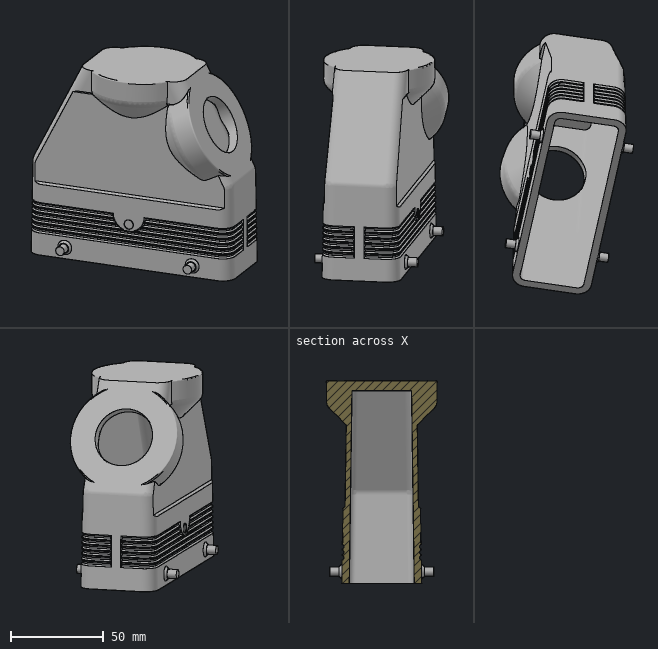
import cadquery as cq
import math

LENGTH = 119.2
WIDTH = 43.2
HEIGHT = 109.2
DRAFT = 0.8
SHOULDER_Z = 53.2
SHOULDER_HALF = LENGTH / 2 - SHOULDER_Z * math.tan(math.radians(DRAFT))
TOP_HALF = 30.3
SHOULDER_R = 5.4
CORNER_R = 7.5

SIDE_WALL = 4.2
ROOF_WALL = 5.5
CAVITY_CORNER_R = CORNER_R - SIDE_WALL

BOSS_R = 60.0 / 2
BOSS_RIM_DEPTH = 13.2
BOSS_EDGE_R = 5.5
BOSS_LIP_R = 0.7
ENTRY_R = 16.0
ENTRY_DEPTH = 11.9

PANEL_INSET = 1.2
PANEL_BOTTOM_Z = 40.3
PANEL_TOP_Z = 96.5

GROOVE_COUNT = 6
GROOVE_TOP_Z = 29.9
GROOVE_BOTTOM_Z = 12.6
GROOVE_OPENING = 2.5
GROOVE_PITCH = (GROOVE_TOP_Z - GROOVE_BOTTOM_Z - GROOVE_OPENING) / (GROOVE_COUNT - 1)
GROOVE_DEPTH = 0.8
GROOVE_END_GAP = 5.2

TAB_R = 9.1
DIMPLE_R = 2.6
DIMPLE_Z = 24.7
DIMPLE_DEPTH = 0.4

PIN_X = 37.3
PIN_Z = 6.4
PIN_R = 2.5
PIN_TIP_Y = 28.0
COLLAR_R = 4.0
COLLAR_TIP_R = 2.9
COLLAR_TIP_Y = 22.9

SLOPE_DX = SHOULDER_HALF - TOP_HALF
SLOPE_DZ = HEIGHT - SHOULDER_Z
SLOPE_LENGTH = math.hypot(SLOPE_DX, SLOPE_DZ)
SLOPE_NORMAL = (SLOPE_DZ / SLOPE_LENGTH, 0, SLOPE_DX / SLOPE_LENGTH)
SLOPE_MID = ((SHOULDER_HALF + TOP_HALF) / 2, 0, (SHOULDER_Z + HEIGHT) / 2)


def wall_lean(z):
    """How far the drafted walls have moved inwards at height z."""
    return z * math.tan(math.radians(DRAFT))


def wall_half_width(z):
    """Distance from the middle plane to a side wall at height z."""
    return WIDTH / 2 - wall_lean(z)


def turned(shape, angle):
    """Shape turned about the vertical centre line."""
    return shape.rotate((0, 0, 0), (0, 0, 1), angle)


def gabled_block(side_inset, roof_inset, corner_r):
    """Drafted hood shape, its walls moved inwards by side_inset, its top and slopes by roof_inset."""
    top_z = HEIGHT - roof_inset
    slope_run = SLOPE_DX / SLOPE_DZ
    top_x = TOP_HALF - roof_inset / SLOPE_NORMAL[0] + roof_inset * slope_run
    base_x = LENGTH / 2 - side_inset
    shoulder_z = (top_x + top_z * slope_run - base_x) / (slope_run - wall_lean(1))
    shoulder_x = base_x - wall_lean(shoulder_z)
    base_y = WIDTH / 2 - side_inset
    top_y = base_y - wall_lean(top_z)

    long_outline = [
        (-base_x, 0),
        (base_x, 0),
        (shoulder_x, shoulder_z),
        (top_x, top_z),
        (-top_x, top_z),
        (-shoulder_x, shoulder_z),
    ]
    cross_outline = [(-base_y, 0), (base_y, 0), (top_y, top_z), (-top_y, top_z)]
    gable = cq.Workplane("XZ").polyline(long_outline).close().extrude(WIDTH, both=True)
    wedge = cq.Workplane("YZ").polyline(cross_outline).close().extrude(LENGTH, both=True)
    block = gable.intersect(wedge)
    block = block.edges("|Y and (not <Z) and (not >Z)").fillet(SHOULDER_R)
    return block.edges("not #Z").fillet(corner_r)


def panel_cutter():
    """Slab removed from the -Y side: drafted floor with 45 degree ledges at bottom and top."""
    low_y = wall_half_width(PANEL_BOTTOM_Z)
    high_y = wall_half_width(PANEL_TOP_Z)
    points = [
        (-low_y, PANEL_BOTTOM_Z),
        (-low_y + PANEL_INSET, PANEL_BOTTOM_Z + PANEL_INSET),
        (-high_y + PANEL_INSET, PANEL_TOP_Z - PANEL_INSET),
        (-high_y, PANEL_TOP_Z),
        (-WIDTH, PANEL_TOP_Z),
        (-WIDTH, PANEL_BOTTOM_Z),
    ]
    return cq.Workplane("YZ").polyline(points).close().extrude(LENGTH, both=True)


def boss(origin, normal):
    """Round boss with a 45 degree tapered underside, its face at origin, pointing along normal."""
    plane = cq.Plane(origin=origin, xDir=(0, 1, 0), normal=normal)
    outline = [(0, 0), (BOSS_R, 0), (BOSS_R, -BOSS_RIM_DEPTH), (0, -BOSS_RIM_DEPTH - BOSS_R)]
    blank = cq.Workplane("XZ").polyline(outline).close().revolve(360, (0, 0, 0), (0, 1, 0))
    blank = blank.faces("%CYLINDER").edges("<Z").fillet(BOSS_EDGE_R)
    blank = blank.faces(">Z").edges().fillet(BOSS_LIP_R)
    return cq.Workplane(blank.val().moved(plane.location))


def entry_bore():
    """Cable hole straight through the sloping wall into the cavity."""
    plane = cq.Plane(origin=SLOPE_MID, xDir=(0, 1, 0), normal=SLOPE_NORMAL)
    return cq.Workplane(plane).circle(ENTRY_R).extrude(-ENTRY_DEPTH)


def groove(top_z):
    """Trapezoidal groove with 45 degree flanks running all round the body, its upper lip at top_z."""
    bottom_z = top_z - GROOVE_OPENING
    length = LENGTH - 2 * wall_lean(top_z) - 2 * GROOVE_DEPTH
    width = 2 * wall_half_width(top_z) - 2 * GROOVE_DEPTH

    def core(z, height, taper):
        floor = cq.Sketch().rect(length, width).vertices().fillet(CORNER_R - GROOVE_DEPTH)
        return cq.Workplane("XY", origin=(0, 0, z)).placeSketch(floor).extrude(height, taper=taper)

    lower_z = bottom_z + GROOVE_DEPTH
    upper_z = top_z - GROOVE_DEPTH
    waist = (
        core(lower_z, upper_z - lower_z, 0)
        .union(core(lower_z, -GROOVE_DEPTH, -45))
        .union(core(upper_z, GROOVE_DEPTH, -45))
    )
    band = cq.Workplane("XY", origin=(0, 0, bottom_z)).rect(2 * LENGTH, 2 * WIDTH).extrude(GROOVE_OPENING)
    return band.cut(waist)


def tab():
    """Half-round plain area on the -Y side, widening by 45 degrees towards the groove floors."""
    floor_y = wall_half_width(GROOVE_TOP_Z) - GROOVE_DEPTH
    floor_r = TAB_R + GROOVE_DEPTH
    core = cq.Workplane("XZ", origin=(0, 0, GROOVE_TOP_Z)).circle(floor_r).extrude(floor_y)
    flank = (
        cq.Workplane("XZ", origin=(0, -floor_y, GROOVE_TOP_Z))
        .circle(floor_r)
        .extrude(2 * GROOVE_DEPTH, taper=45)
    )
    return core.union(flank)


def end_strip():
    """Plain upright strip on the -X end, widening by 45 degrees towards the groove floors."""
    wall_x = -LENGTH / 2 + wall_lean(GROOVE_TOP_Z)
    floor_x = wall_x + GROOVE_DEPTH
    half = GROOVE_END_GAP / 2
    points = [
        (wall_x - GROOVE_DEPTH, -half),
        (wall_x - GROOVE_DEPTH, half),
        (wall_x, half),
        (floor_x, half + GROOVE_DEPTH),
        (floor_x, -half - GROOVE_DEPTH),
        (wall_x, -half),
    ]
    return cq.Workplane("XY").polyline(points).close().extrude(HEIGHT)


def grooves():
    """All grip grooves, leaving out the tabs and the plain end strips."""
    cutter = groove(GROOVE_TOP_Z)
    for index in range(1, GROOVE_COUNT):
        cutter = cutter.union(groove(GROOVE_TOP_Z - index * GROOVE_PITCH))
    for turn in (0, 180):
        cutter = cutter.cut(turned(tab(), turn)).cut(turned(end_strip(), turn))
    return cutter


def dimple():
    """Shallow round recess in the tab on the -Y side."""
    floor_y = wall_half_width(DIMPLE_Z) - DIMPLE_DEPTH
    return cq.Workplane("XZ", origin=(0, -floor_y, DIMPLE_Z)).circle(DIMPLE_R).extrude(WIDTH)


def pin(x):
    """Locking pin with a conical collar on the -Y side, rooted inside the wall."""
    root_y = WIDTH / 2 - SIDE_WALL / 2
    collar_y = wall_half_width(PIN_Z)
    outline = [
        (0, root_y),
        (COLLAR_R, root_y),
        (COLLAR_R, collar_y),
        (COLLAR_TIP_R, COLLAR_TIP_Y),
        (PIN_R, COLLAR_TIP_Y),
        (PIN_R, PIN_TIP_Y),
        (0, PIN_TIP_Y),
    ]
    solid = cq.Workplane("XY").polyline(outline).close().revolve(360, (0, 0, 0), (0, 1, 0))
    return turned(solid, 180).translate((x, 0, PIN_Z))


def build():
    """Hollow hood with panels, bosses, cable entry, grooves, dimples and pins."""
    hood = gabled_block(0, 0, CORNER_R)
    for turn in (0, 180):
        hood = hood.cut(turned(panel_cutter(), turn))
    hood = hood.union(boss((0, 0, HEIGHT), (0, 0, 1)))
    hood = hood.union(boss(SLOPE_MID, SLOPE_NORMAL))
    hood = hood.cut(gabled_block(SIDE_WALL, ROOF_WALL, CAVITY_CORNER_R))
    hood = hood.cut(entry_bore()).cut(grooves())
    for turn in (0, 180):
        hood = hood.cut(turned(dimple(), turn))
        for x in (-PIN_X, PIN_X):
            hood = hood.union(turned(pin(x), turn))
    return hood


result = build()